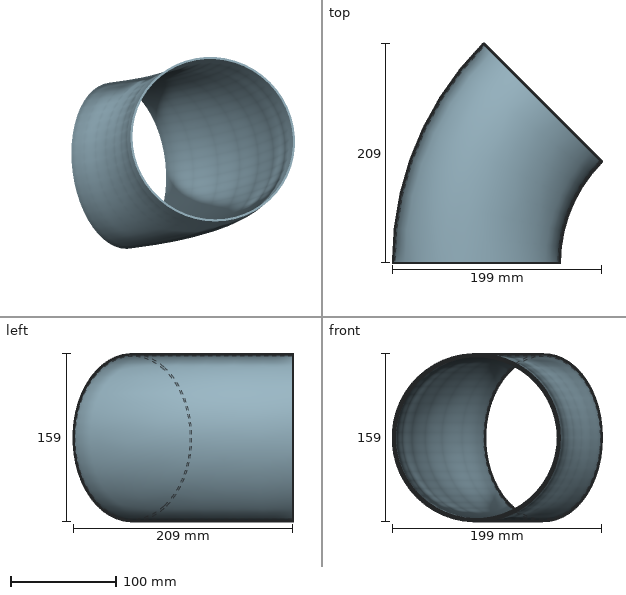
import cadquery as cq

outer_diameter = 159.0
wall_thickness = 2.0
bend_radius = 216.0
bend_angle = 45.0

outer_radius = outer_diameter / 2
inner_radius = outer_radius - wall_thickness


def make_elbow():
    """Sweep the pipe ring around a bend axis parallel to Z on the +X side."""
    ring = cq.Workplane("XZ").circle(outer_radius).circle(inner_radius)
    axis_start = (bend_radius, 0)
    axis_end = (bend_radius, -1)
    return ring.revolve(bend_angle, axis_start, axis_end)


result = make_elbow()